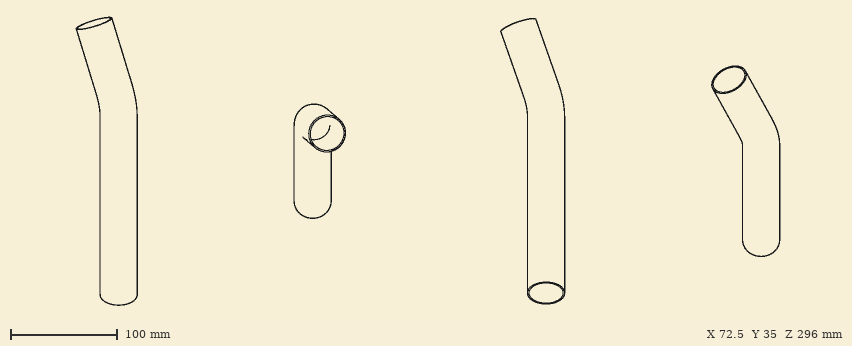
import cadquery as cq
import math

overall_width = 72.5
overall_height = 296.0
outer_diameter = 35.0
wall = 1.5
bend_radius = 54.0
bend_angle = 30.0

outer_radius = outer_diameter / 2
bend_sin = math.sin(math.radians(bend_angle))
bend_cos = math.cos(math.radians(bend_angle))

bend_shift = bend_radius * (1 - bend_cos)
bend_rise = bend_radius * bend_sin
upper_length = (overall_width - outer_radius * (1 + bend_cos) - bend_shift) / bend_sin
lower_length = overall_height - bend_rise - upper_length * bend_cos - outer_radius * bend_sin


def tube_section(workplane):
    """Draw the annular tube section on a workplane."""
    return workplane.circle(outer_radius).circle(outer_radius - wall)


lower_tube = tube_section(cq.Workplane("XY")).extrude(lower_length)

bend = tube_section(cq.Workplane("XY", origin=(0, 0, lower_length))).revolve(
    bend_angle, (-bend_radius, 0, 0), (-bend_radius, -1, 0)
)

upper_plane = cq.Plane(
    origin=(-bend_shift, 0, lower_length + bend_rise),
    xDir=(bend_cos, 0, bend_sin),
    normal=(-bend_sin, 0, bend_cos),
)
upper_tube = tube_section(cq.Workplane(upper_plane)).extrude(upper_length)

result = lower_tube.union(bend).union(upper_tube)